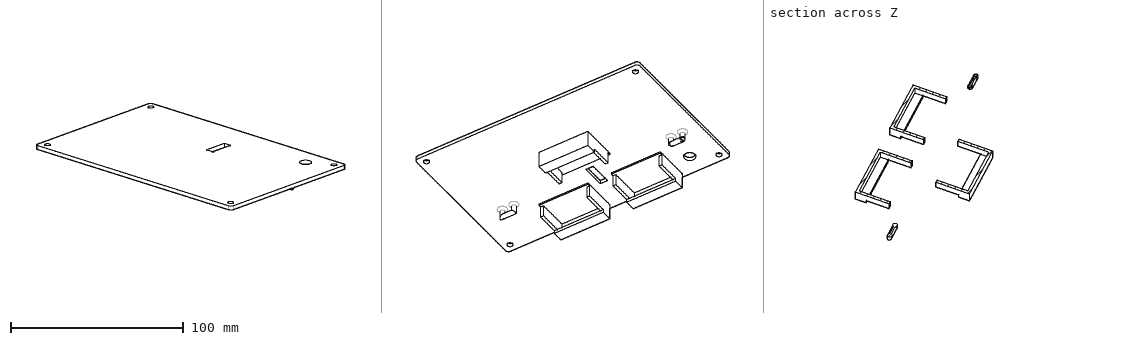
import cadquery as cq
import math

plate_length = 155.0
plate_width = 98.0
plate_thickness = 2.5
plate_corner_radius = 2.0

screw_hole_diameter = 3.4
screw_hole_inset = 5.0
round_hole_diameter = 7.0
round_hole_x = 57.5
round_hole_y = 36.0
slot_length_x = 5.0
slot_length_y = 15.0
slot_y = 20.0

holder_x = 3.5
holder_y = 15.5

overall_height = 13.3
clip_depth = overall_height - plate_thickness
clip_width = 34.0
clip_pair_span = 84.2
clip_pair_x = (clip_pair_span - clip_width) / 2
clip_outer_y = 30.7
clip_inner_y = 9.3
clip_wall = 2.0
base_inner_y = 7.5
base_thickness = 1.0
lip_width = 7.0
lip_thickness = 2.1
lip_top_depth = clip_depth - lip_thickness

loop_spacing = 117.0
loop_bar_diameter = 3.0
loop_leg_spacing = 8.0
loop_depth = 7.0
loop_root_fillet = 1.5
loop_axis_depth = loop_depth - loop_bar_diameter / 2


def make_plate():
    plate = (
        cq.Workplane("XY")
        .rect(plate_length, plate_width)
        .extrude(plate_thickness)
        .edges("|Z")
        .fillet(plate_corner_radius)
    )
    screw_holes = (
        cq.Workplane("XY")
        .rect(plate_length - 2 * screw_hole_inset, plate_width - 2 * screw_hole_inset, forConstruction=True)
        .vertices()
        .circle(screw_hole_diameter / 2)
        .extrude(plate_thickness)
    )
    round_hole = (
        cq.Workplane("XY")
        .center(round_hole_x, round_hole_y)
        .circle(round_hole_diameter / 2)
        .extrude(plate_thickness)
    )
    slot = (
        cq.Workplane("XY")
        .center(holder_x, slot_y)
        .rect(slot_length_x, slot_length_y)
        .extrude(plate_thickness)
    )
    return plate.cut(screw_holes).cut(round_hole).cut(slot)


def make_clip():
    """Clip on the +Y side, centred on X = 0 and open towards -Y."""
    lip_inner_y = clip_outer_y - lip_width
    clip = (
        cq.Workplane("YZ")
        .moveTo(base_inner_y, 0)
        .lineTo(clip_outer_y, 0)
        .lineTo(clip_outer_y, -clip_depth)
        .lineTo(lip_inner_y, -clip_depth)
        .lineTo(lip_inner_y, -lip_top_depth)
        .lineTo(clip_inner_y, -lip_top_depth)
        .lineTo(clip_inner_y, -base_thickness)
        .lineTo(base_inner_y, -base_thickness)
        .close()
        .extrude(clip_width / 2, both=True)
    )
    cavity_width = clip_width - 2 * clip_wall
    cavity_length = clip_outer_y - clip_wall - clip_inner_y
    cavity_y = clip_inner_y + cavity_length / 2
    cavity = (
        cq.Workplane("XY", origin=(0, cavity_y, -base_thickness))
        .rect(cavity_width, cavity_length)
        .extrude(base_thickness - lip_top_depth)
    )
    return clip.cut(cavity)


def make_loop_bar(corner_style):
    """U-shaped bar hanging from Z = 0; corner_style shapes its two bends."""
    half_spacing = loop_leg_spacing / 2
    path = (
        cq.Workplane("XZ")
        .moveTo(-half_spacing, 0)
        .lineTo(-half_spacing, -loop_axis_depth)
        .lineTo(half_spacing, -loop_axis_depth)
        .lineTo(half_spacing, 0)
    )
    return (
        cq.Workplane("XY")
        .center(-half_spacing, 0)
        .circle(loop_bar_diameter / 2)
        .sweep(path, transition=corner_style)
    )


def make_root_flare():
    """Concave flare that blends a loop leg into the plate."""
    bar_radius = loop_bar_diameter / 2
    flare_radius = bar_radius + loop_root_fillet
    arc_offset = loop_root_fillet * math.cos(math.pi / 4)
    return (
        cq.Workplane("XZ")
        .lineTo(flare_radius, 0)
        .threePointArc(
            (flare_radius - arc_offset, arc_offset - loop_root_fillet),
            (bar_radius, -loop_root_fillet),
        )
        .lineTo(0, -loop_root_fillet)
        .close()
        .revolve(360, (0, 0, 0), (0, 1, 0))
    )


def make_loop(corner_style):
    loop = make_loop_bar(corner_style)
    for side in (-1, 1):
        loop = loop.union(make_root_flare().translate((side * loop_leg_spacing / 2, 0, 0)))
    return loop


clip = make_clip()
under_parts = [
    clip.translate((-clip_pair_x, 0, 0)),
    clip.translate((clip_pair_x, 0, 0)),
    clip.rotate((0, 0, 0), (0, 0, 1), 180),
    make_loop("right").translate((-loop_spacing / 2, 0, 0)),
    make_loop("round").translate((loop_spacing / 2, 0, 0)),
]

result = make_plate()
for under_part in under_parts:
    result = result.union(under_part.translate((holder_x, holder_y, 0)))